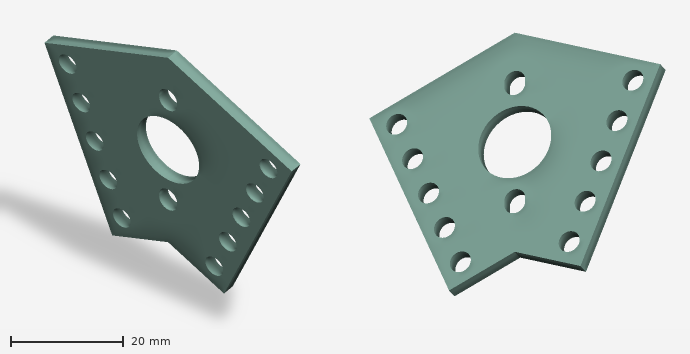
import cadquery as cq
import math

width = 55.85
thickness = 2.5
tilt = math.radians(22.5)
side_length = 40.0

bore_diameter = 14.0
bore_drop = 21.6
slot_offset = 11.7
slot_width = 4.0
slot_length = 4.7

hole_diameter = 4.0
hole_inset = 4.0
holes_per_side = 5
hole_pitch = (side_length - 2 * hole_inset) / (holes_per_side - 1)

shoulder_x = width / 2
apex_z = bore_drop
shoulder_z = apex_z - shoulder_x * math.tan(tilt)
foot_x = shoulder_x - side_length * math.sin(tilt)
foot_z = shoulder_z - side_length * math.cos(tilt)
notch_z = foot_z + foot_x * math.tan(tilt)


def row_points(side):
    """Hole centres parallel to one leaning side; side is -1 (left) or 1 (right)."""
    points = []
    for i in range(holes_per_side):
        along = hole_inset + i * hole_pitch
        x = shoulder_x - along * math.sin(tilt) - hole_inset * math.cos(tilt)
        z = shoulder_z - along * math.cos(tilt) + hole_inset * math.sin(tilt)
        points.append((side * x, z))
    return points


def make_plate():
    outline = [
        (0, apex_z),
        (shoulder_x, shoulder_z),
        (foot_x, foot_z),
        (0, notch_z),
        (-foot_x, foot_z),
        (-shoulder_x, shoulder_z),
    ]
    return cq.Workplane("XZ").polyline(outline).close().extrude(thickness)


def make_cutters():
    plane = cq.Workplane("XZ")
    bore = plane.circle(bore_diameter / 2).extrude(thickness)
    holes = plane.pushPoints(row_points(-1) + row_points(1)).circle(hole_diameter / 2).extrude(thickness)
    slot_points = [(0, slot_offset), (0, -slot_offset)]
    slots = plane.pushPoints(slot_points).slot2D(slot_length, slot_width, 90).extrude(thickness)
    return bore, holes, slots


result = make_plate()
for cutter in make_cutters():
    result = result.cut(cutter)